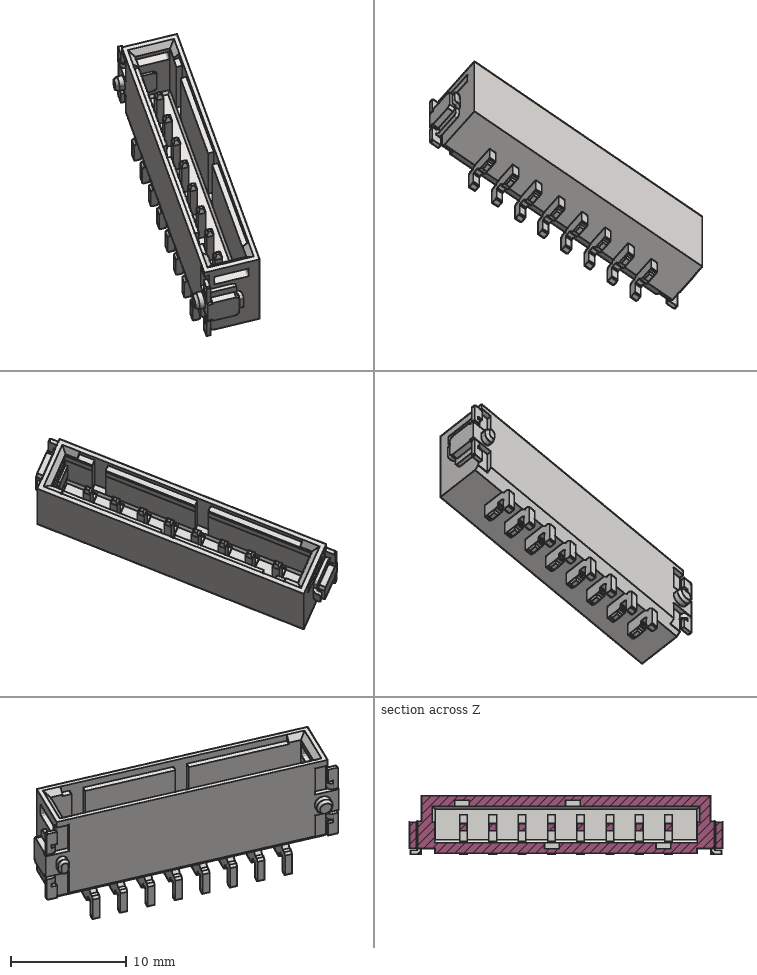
import cadquery as cq


overall_length = 27.15
housing_length = 25.08
housing_depth = 5.0
housing_height = 8.85
bottom_chamfer = 0.8
rim_side_wall = 0.43
rim_long_wall = 0.4

flare = 0.52
flare_corner_length = 1.63
ledge_drop = 0.68
floor_z = 1.9
floor_chamfer = 0.25
key_slot_width = 1.25
back_key_centers = (-9.0, 0.6)
front_key_centers = (-1.22, 8.45)

window_front_y = 0.9
window_back_y = 4.02
window_bottom_z = 6.73
window_top_z = 7.87
window_corner = 0.1

recess_length = 1.17
recess_depth = 0.43
recess_bottom_z = 0.38
recess_top_z = 8.22
tab_center_z = 4.2
tab_half_height = 1.33
tab_front_half_height = 1.15
tab_depth = 2.82
tab_corner = 0.27
tab_slot_width = 0.43

post_center_x = 12.08
post_diameter = 1.5
oval_post_width = 1.0
post_length = 0.81
post_chamfer_length = 0.33
post_chamfer_inset = 0.2

foot_overhang = 0.08
clip_thickness = 0.35
clip_half_height = 1.98
clip_end_y = 2.82
clip_end_corner = 0.27
clip_bend_radius = 0.5
foot_tip_x = 13.5
foot_near_offset = 1.35
foot_far_offset = 3.6
foot_notch_offset = 2.28
foot_corner = 0.1
tongue_tip_x = 13.38
tongue_back_y = 3.28
tongue_half_height = 0.85
tongue_corner = 0.27

pin_count = 8
pin_row_length = 17.78
pin_width = 0.65
pin_back_y = 2.88
pin_block_front_y = 1.3
pin_block_bottom_z = -1.68
pin_arm_top_z = -0.3
pin_arm_bottom_z = -1.1
pin_leg_inner_y = 0.6
pin_bottom_z = -2.75
pin_corner = 0.1
pin_knee_corner = 0.22
pin_shoulder_y = 0.81
pin_stub_center_y = 2.12
pin_stub_depth = 0.87
pin_stub_length = 0.27
contact_center_y = 2.28
contact_top_z = 5.97
contact_point_length = 0.5
contact_point_inset = 0.2
pin_slot_front_y = 1.05
pin_slot_back_y = 3.37
pin_slot_depth = 0.27

half_length = housing_length / 2
half_overall = overall_length / 2
middle_y = housing_depth / 2
rim_x = half_length - rim_side_wall
rim_depth = housing_depth - 2 * rim_long_wall
cavity_x = rim_x - flare
cavity_depth = rim_depth - 2 * flare
flare_bottom_z = housing_height - flare
floor_chamfer_top_z = floor_z + floor_chamfer
pin_pitch = pin_row_length / (pin_count - 1)
clip_outer_x = half_length + clip_thickness


def box(x, y, z):
    """Box spanning the given (low, high) ranges."""
    size = [high - low for low, high in (x, y, z)]
    return cq.Workplane("XY").box(*size, centered=False).translate((x[0], y[0], z[0]))


def both_ends(shape):
    """The shape together with its mirror image across X = 0."""
    return shape.union(shape.mirror("YZ"))


def frustum(half_x, depth, z, height, spread):
    """Rectangular frustum on the cavity axis, growing outward by `spread` over its height."""
    return (
        cq.Workplane("XY", origin=(0, middle_y, z))
        .rect(2 * half_x, depth)
        .workplane(offset=height)
        .rect(2 * (half_x + spread), depth + 2 * spread)
        .loft()
    )


def housing_shell():
    shell = box((-half_length, half_length), (0, housing_depth), (0, housing_height))
    return shell.edges("<Y and <Z").chamfer(bottom_chamfer)


def cavity():
    """Open-top pocket with a flared mouth, wall ledges, key slots and a bevelled floor edge."""
    pocket = box(
        (-cavity_x, cavity_x),
        (middle_y - cavity_depth / 2, middle_y + cavity_depth / 2),
        (floor_chamfer_top_z, housing_height),
    )
    floor_bevel = frustum(
        cavity_x - floor_chamfer, cavity_depth - 2 * floor_chamfer, floor_z, floor_chamfer, floor_chamfer
    )
    mouth = frustum(cavity_x, cavity_depth, flare_bottom_z, flare, flare)
    ledge_x = rim_x - flare_corner_length
    back_y = housing_depth - rim_long_wall
    ledges = box((-ledge_x, ledge_x), (rim_long_wall, back_y), (housing_height - ledge_drop, housing_height))
    pocket = pocket.union(floor_bevel).union(mouth).union(ledges)
    key_ranges = [(center, (rim_long_wall, middle_y)) for center in front_key_centers]
    key_ranges += [(center, (middle_y, back_y)) for center in back_key_centers]
    for center, y_range in key_ranges:
        x_range = (center - key_slot_width / 2, center + key_slot_width / 2)
        pocket = pocket.union(box(x_range, y_range, (floor_chamfer_top_z, housing_height)))
    return pocket


def side_windows():
    """One bar crossing both end walls."""
    bar = box(
        (-half_length, half_length),
        (window_front_y, window_back_y),
        (window_bottom_z, window_top_z),
    )
    return bar.edges("|X").fillet(window_corner)


def corner_recess():
    return box(
        (half_length - recess_length, half_length),
        (0, recess_depth),
        (recess_bottom_z, recess_top_z),
    )


def side_tab():
    """Tab beyond the end wall, stepped at its front, with a slot beside the wall for the clip plate."""
    upper_half = [
        (0, tab_front_half_height),
        (recess_depth, tab_front_half_height),
        (recess_depth, tab_half_height),
        (tab_depth - tab_corner, tab_half_height),
        (tab_depth, tab_half_height - tab_corner),
    ]
    lower_half = [(y, -z) for y, z in reversed(upper_half)]
    start_x = half_length - recess_length
    tab = (
        cq.Workplane("YZ", origin=(start_x, 0, tab_center_z))
        .polyline(upper_half + lower_half)
        .close()
        .extrude(half_overall - start_x)
    )
    slot = box(
        (half_length, half_length + tab_slot_width),
        (recess_depth, tab_depth),
        (tab_center_z - tab_half_height, tab_center_z + tab_half_height),
    )
    return tab.cut(slot)


def locating_posts():
    """Oval post at the left end and round post at the right end, both with tapered tips."""
    oval = cq.Workplane("XZ", origin=(-post_center_x, 0, tab_center_z))
    oval = oval.slot2D(post_diameter, oval_post_width, 90).extrude(post_length)
    round_post = cq.Workplane("XZ", origin=(post_center_x, 0, tab_center_z))
    round_post = round_post.circle(post_diameter / 2).extrude(post_length)
    oval = oval.faces("<Y").chamfer(post_chamfer_length, post_chamfer_inset)
    round_post = round_post.faces("<Y").chamfer(post_chamfer_length, post_chamfer_inset)
    return oval.union(round_post)


def clip_plate():
    """Flat plate on the end wall."""
    plate = box(
        (half_length, clip_outer_x),
        (clip_bend_radius - foot_overhang, clip_end_y),
        (tab_center_z - clip_half_height, tab_center_z + clip_half_height),
    )
    return plate.edges("|X and >Y").fillet(clip_end_corner)


def clip_tongue():
    """Tongue bent outward from the back edge of the plate."""
    bend_y = tongue_back_y - clip_bend_radius
    inner_radius = clip_bend_radius - clip_thickness
    tongue = (
        cq.Workplane("XY", origin=(0, 0, tab_center_z - tongue_half_height))
        .moveTo(half_length, bend_y)
        .radiusArc((half_length + clip_bend_radius, tongue_back_y), clip_bend_radius)
        .lineTo(tongue_tip_x, tongue_back_y)
        .lineTo(tongue_tip_x, tongue_back_y - clip_thickness)
        .lineTo(half_length + clip_bend_radius, tongue_back_y - clip_thickness)
        .radiusArc((clip_outer_x, bend_y), -inner_radius)
        .lineTo(clip_outer_x, clip_end_y - clip_end_corner)
        .lineTo(half_length, clip_end_y - clip_end_corner)
        .close()
        .extrude(2 * tongue_half_height)
    )
    return tongue.edges("|Y and >X").fillet(tongue_corner)


def upper_foot():
    """Solder foot above the tab, joined to the plate by a bend beside the notch."""
    front_y = -foot_overhang
    back_y = front_y + clip_thickness
    bend_x = half_length + clip_bend_radius
    bend_y = front_y + clip_bend_radius
    near_z = tab_center_z + foot_near_offset
    foot = box((half_length, foot_tip_x), (front_y, back_y), (near_z, tab_center_z + foot_far_offset))
    foot = foot.edges("|Y and >X and >Z").chamfer(foot_corner)
    notch = box((half_length, bend_x), (front_y, back_y), (near_z, tab_center_z + foot_notch_offset))
    bend = (
        cq.Workplane("XY", origin=(0, 0, near_z))
        .moveTo(half_length, bend_y)
        .radiusArc((bend_x, front_y), -clip_bend_radius)
        .lineTo(bend_x, back_y)
        .radiusArc((clip_outer_x, bend_y), clip_bend_radius - clip_thickness)
        .close()
        .extrude(clip_half_height - foot_near_offset)
    )
    return foot.cut(notch).union(bend)


def solder_clip():
    foot = upper_foot()
    lower_foot = foot.mirror("XY", (0, 0, tab_center_z))
    return clip_plate().union(clip_tongue()).union(foot).union(lower_foot)


def tapered_stub(center_y, depth, z, length, inset):
    """Block on the pin line, narrowing by `inset` per side; negative length points down."""
    return (
        cq.Workplane("XY", origin=(0, center_y, z))
        .rect(pin_width, depth)
        .workplane(offset=length)
        .rect(pin_width - 2 * inset, depth - 2 * inset)
        .loft()
    )


def terminal():
    """Terminal centred on X = 0: contact post in the cavity, block and bent leg below the housing."""
    profile = [
        (pin_back_y, 0),
        (pin_back_y, pin_block_bottom_z + pin_corner),
        (pin_back_y - pin_corner, pin_block_bottom_z),
        (pin_block_front_y + pin_corner, pin_block_bottom_z),
        (pin_block_front_y, pin_block_bottom_z + pin_corner),
        (pin_block_front_y, pin_arm_bottom_z - pin_corner),
        (pin_block_front_y - pin_corner, pin_arm_bottom_z),
        (pin_leg_inner_y + pin_corner, pin_arm_bottom_z),
        (pin_leg_inner_y, pin_arm_bottom_z - pin_corner),
        (pin_leg_inner_y, pin_bottom_z + pin_corner),
        (pin_leg_inner_y - pin_corner, pin_bottom_z),
        (pin_corner - foot_overhang, pin_bottom_z),
        (-foot_overhang, pin_bottom_z + pin_corner),
        (-foot_overhang, pin_arm_top_z - pin_knee_corner),
        (pin_knee_corner - foot_overhang, pin_arm_top_z),
        (pin_shoulder_y + pin_arm_top_z, pin_arm_top_z),
        (pin_shoulder_y, 0),
    ]
    body = cq.Workplane("YZ").polyline(profile).close().extrude(pin_width / 2, both=True)
    stub = tapered_stub(pin_stub_center_y, pin_stub_depth, pin_block_bottom_z, -pin_stub_length, pin_corner)
    shaft_top_z = contact_top_z - contact_point_length
    half_width = pin_width / 2
    contact = box(
        (-half_width, half_width),
        (contact_center_y - half_width, contact_center_y + half_width),
        (0, shaft_top_z),
    )
    point = tapered_stub(
        contact_center_y, pin_width, shaft_top_z, contact_point_length, contact_point_inset
    )
    return body.union(stub).union(contact).union(point)


def floor_slot():
    """Shallow slot in the cavity floor around one contact post."""
    return box(
        (-pin_width / 2, pin_width / 2),
        (pin_slot_front_y, pin_slot_back_y),
        (floor_z - pin_slot_depth, floor_chamfer_top_z),
    )


result = (
    housing_shell()
    .cut(cavity())
    .cut(side_windows())
    .cut(both_ends(corner_recess()))
    .union(both_ends(side_tab()))
    .union(locating_posts())
    .union(both_ends(solder_clip()))
)
for index in range(pin_count):
    pin_x = index * pin_pitch - pin_row_length / 2
    result = result.cut(floor_slot().translate((pin_x, 0, 0)))
    result = result.union(terminal().translate((pin_x, 0, 0)))